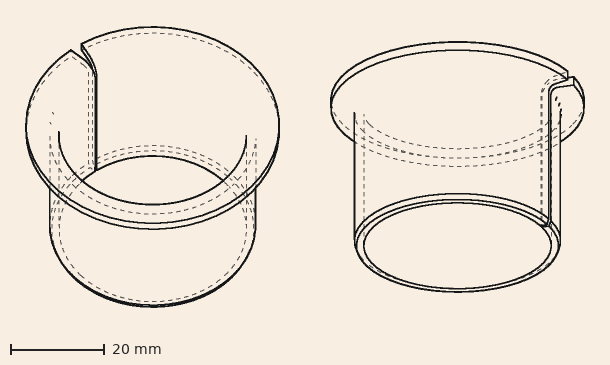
import cadquery as cq
import math

flange_radius = 27.0
height = 35.0
wall = 2.0
sleeve_radius = 21.95
bore_radius = sleeve_radius - wall
outer_bend = 1.5
inner_bend = outer_bend + wall
bend_center_radius = sleeve_radius + outer_bend
bend_center_z = height - inner_bend

chamfer_height = 1.2
chamfer_width = 0.45

split_bore_width = 0.45
split_rim_width = 2.8


def bend_point(radius):
    """Middle point of a quarter bend around the shared bend centre."""
    offset = radius * math.sqrt(0.5)
    return (bend_center_radius - offset, bend_center_z + offset)


def make_bushing():
    """Revolve the wall section: sleeve, bend and flange; its seam lies at the split."""
    return (
        cq.Workplane("XZ")
        .moveTo(bore_radius, 0)
        .lineTo(sleeve_radius - chamfer_width, 0)
        .lineTo(sleeve_radius, chamfer_height)
        .lineTo(sleeve_radius, bend_center_z)
        .threePointArc(bend_point(outer_bend), (bend_center_radius, height - wall))
        .lineTo(flange_radius, height - wall)
        .lineTo(flange_radius, height)
        .lineTo(bend_center_radius, height)
        .threePointArc(bend_point(inner_bend), (bore_radius, bend_center_z))
        .close()
        .revolve(360, (0, 0, 0), (0, 1, 0))
        .rotate((0, 0, 0), (0, 0, 1), 180)
    )


def make_split():
    """Wedge through the full height, with straight sides extended past both radii."""
    side_slope = (split_rim_width - split_bore_width) / 2 / (flange_radius - bore_radius)
    tip_radius = bore_radius - split_bore_width / 2 / side_slope
    far_radius = flange_radius + wall
    far_half_width = (far_radius - tip_radius) * side_slope
    return (
        cq.Workplane("XY")
        .polyline([
            (-tip_radius, 0),
            (-far_radius, far_half_width),
            (-far_radius, -far_half_width),
        ])
        .close()
        .extrude(height)
    )


result = make_bushing().cut(make_split())